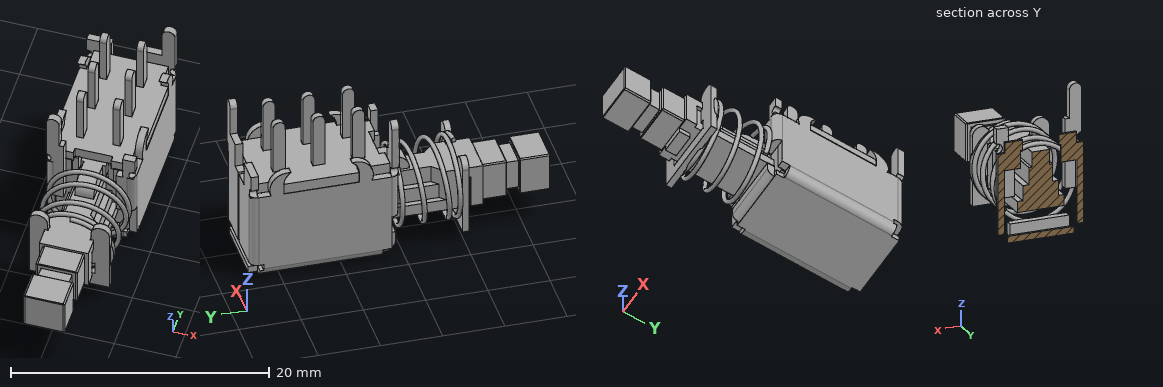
import cadquery as cq
import math


SHELL_HALF = 7.25 / 2
SHEET = 0.62
WALL_TOP = 7.53
WALL_BOTTOM = 1.13
FRONT_INNER = 11.35
FRONT = FRONT_INNER + SHEET
BEND_R = 0.65
INNER_HALF = SHELL_HALF - SHEET
FLANGE_BOTTOM = 3.75
FLANGE_INNER = 2.12
BACK_GAP = 0.25
SIDE_BACK = 1.03
BASE_T = 0.6
BASE_HALF = 2.8
BASE_BEND_R = 0.75
BASE_BEND_BACK = 0.75
BASE_BEND_FRONT = 10.63
SIDE_END_BOTTOM = 0.76
LIP_HALF = 2.5
LIP_TOP = 1.5

TAB_TOP = 12.4
STEP_TOP = 9.55
TAB_OUTER = 3.55
TAB_W = 1.05
RELIEF_R = 0.37
RELIEF_CENTRE = 3.52
BACK_STEP_LEFT = 1.6
BACK_STEP_RIGHT = 1.0
SHORT_TAB_W = 0.98

HOOK_BACK = 1.53
HOOK_BULGE_Z = 8.17
HOOK_ROOT_BACK = 1.62
HOOK_ROOT_FRONT = 2.65
HOOK_TIP = 3.22
HOOK_TIP_Z = 9.45
HOOK_MIDDLE = 5.68

CAP_HALF = 3.6
CAP_TOP = 8.41
CAP_FRONT = FRONT_INNER
CAP_NOTCH_HALF = 1.53
CAP_NOTCH_BACK = 10.87
HOUSING_FRONT = 11.02
CHEEK_HALF = 1.7
CHEEK_FRONT = 11.27
OPENING_HALF = 1.2
OPENING_BACK = 9.85

PIN_TOP = 13.0
PIN_W = 0.98
PIN_T = 0.57
PIN_X = 2.98 / 2
PIN_MIDDLE = 5.98
PIN_PITCH = 3.2

PLUNGER_HALF = 3.95 / 2
PLUNGER_BOTTOM = 2.4
PLUNGER_TOP = 6.05
LOWER_LEDGE_Z = 3.37
UPPER_LEDGE_Z = 4.62
MIDDLE_HALF = 1.53
UPPER_HALF = 1.0
TAPER_END = 16.14
COLLAR_FRONT = 19.11
AXIS_Z = 4.23
CAM_HALF = 0.76
CAM_R = 1.25
CAM_CENTRE = 12.28
KEY_HALF = 1.0
KEY_BACK = 18.13
KEY_BOTTOM = 1.87
GROOVE_HALF = 1.7
CLEARANCE_TOP = 5.15

BUTTON_HALF_X = 3.37 / 2
BUTTON_HALF_Z = 1.62
BUTTON_SIDE_BEVEL = 0.15
BUTTON_BEVEL = 0.062
NECK_HALF = 1.25
NECK_BACK = 21.1
HEAD_BACK = 22.15
BUTTON_FRONT = 24.6

PLATE_BACK = 17.1
PLATE_T = 0.55
PLATE_FRONT = PLATE_BACK + PLATE_T
PLATE_HALF = 3.25
ARM_INNER = 1.77
PLATE_BOTTOM = 0.98
PLATE_TOP = 7.53
WINDOW_HALF = 2.07
WINDOW_BOTTOM = 2.26

COIL_R = 3.25
WIRE_D = 0.4
SPRING_BACK = 12.25
BACK_PITCH = 0.2
OPEN_PITCH = 2.0
FRONT_PITCH = 0.47
OPEN_FROM = 0.4
OPEN_TO = 2.55
FIRST_TURN = -0.35
LAST_TURN = 4.0
POINTS_PER_TURN = 16


def block(x0, x1, depth0, depth1, z0, z1):
    size = (x1 - x0, depth1 - depth0, z1 - z0)
    return cq.Workplane("XY").box(*size, centered=False).translate((x0, -depth1, z0))


def centred_block(half, depth0, depth1, z0, z1):
    return block(-half, half, depth0, depth1, z0, z1)


def mirrored(solid):
    return solid.union(solid.mirror("YZ"))


def shell_walls():
    ring = centred_block(SHELL_HALF, 0, FRONT, WALL_BOTTOM, WALL_TOP).edges("|Z").fillet(BEND_R)
    ring = ring.cut(centred_block(INNER_HALF, SHEET, FRONT_INNER, WALL_BOTTOM, WALL_TOP))
    ring = ring.cut(centred_block(FLANGE_INNER, FRONT_INNER, FRONT, WALL_BOTTOM, WALL_TOP))
    ring = ring.cut(centred_block(SHELL_HALF, FRONT_INNER, FRONT, WALL_BOTTOM, FLANGE_BOTTOM))
    ring = ring.cut(centred_block(BACK_GAP / 2, 0, SHEET, WALL_BOTTOM, WALL_TOP))
    return ring


def shell_base():
    trough = centred_block(SHELL_HALF, BASE_BEND_BACK, BASE_BEND_FRONT, 0, WALL_BOTTOM)
    trough = trough.edges("|Y and <Z").fillet(BASE_BEND_R)
    above_bend = centred_block(SHELL_HALF, BASE_BEND_BACK, SIDE_BACK, BASE_T, WALL_BOTTOM)
    trough = trough.cut(above_bend)
    side_end = block(INNER_HALF, SHELL_HALF, BASE_BEND_FRONT, FRONT_INNER, SIDE_END_BOTTOM, WALL_BOTTOM)
    base = centred_block(BASE_HALF, 0, FRONT_INNER, 0, BASE_T)
    lip = centred_block(LIP_HALF, HOUSING_FRONT, FRONT, 0, LIP_TOP)
    lip = lip.edges("|X and <Y and <Z").fillet(BEND_R)
    lip = lip.cut(centred_block(LIP_HALF, HOUSING_FRONT, FRONT_INNER, BASE_T, LIP_TOP))
    return trough.union(mirrored(side_end)).union(base).union(lip)


def rounded_strip(width, top, bottom, thickness):
    """Upright strip centred on X = 0 with a half-round top, extruded towards -Y."""
    radius = width / 2
    return (
        cq.Workplane("XZ")
        .moveTo(-radius, bottom)
        .lineTo(-radius, top - radius)
        .threePointArc((0, top), (radius, top - radius))
        .lineTo(radius, bottom)
        .close()
        .extrude(thickness)
    )


def tall_tab(depth):
    tab = rounded_strip(TAB_W, TAB_TOP, WALL_TOP, SHEET)
    return tab.translate((-TAB_OUTER + TAB_W / 2, -depth, 0))


def shell_tabs():
    front_step = block(-TAB_OUTER, -FLANGE_INNER, FRONT_INNER, FRONT, WALL_TOP, STEP_TOP)
    front_short = block(SHELL_HALF - SHORT_TAB_W, SHELL_HALF, FRONT_INNER, FRONT, WALL_TOP, STEP_TOP)
    back_left = block(-SHELL_HALF, -BACK_STEP_LEFT, 0, SHEET, WALL_TOP, STEP_TOP)
    back_right = block(BACK_STEP_RIGHT, TAB_OUTER, 0, SHEET, WALL_TOP, STEP_TOP)
    tabs = tall_tab(FRONT_INNER).union(front_step).union(front_short)
    tabs = tabs.union(tall_tab(0).mirror("YZ")).union(back_left).union(back_right)
    relief = (
        cq.Workplane("XZ")
        .center(RELIEF_CENTRE, WALL_TOP + RELIEF_R)
        .circle(RELIEF_R)
        .extrude(FRONT)
    )
    relief = relief.union(
        block(RELIEF_CENTRE, SHELL_HALF, 0, FRONT, WALL_TOP, WALL_TOP + 2 * RELIEF_R)
    )
    return tabs.cut(mirrored(relief))


def hook():
    """Back hook of the left wall, curling towards the front."""
    rise = HOOK_TIP_Z - CAP_TOP
    reach = HOOK_TIP - HOOK_ROOT_FRONT
    inner_r = (reach ** 2 + rise ** 2) / (2 * reach)
    outline = (
        cq.Workplane("YZ")
        .moveTo(-HOOK_ROOT_BACK, WALL_TOP)
        .threePointArc((-HOOK_BACK, HOOK_BULGE_Z), (-HOOK_TIP, HOOK_TIP_Z))
        .radiusArc((-HOOK_ROOT_FRONT, CAP_TOP), inner_r)
        .lineTo(-HOOK_ROOT_FRONT, WALL_TOP)
        .close()
    )
    return outline.extrude(SHEET).translate((-SHELL_HALF, 0, 0))


def hooks():
    back = hook()
    front = back.mirror("XZ", (0, -HOOK_MIDDLE, 0))
    return mirrored(back.union(front))


def housing():
    body = centred_block(INNER_HALF, SIDE_BACK, HOUSING_FRONT, BASE_T, WALL_TOP)
    body = body.cut(centred_block(OPENING_HALF, OPENING_BACK, HOUSING_FRONT, PLUNGER_TOP, WALL_TOP))
    cap = centred_block(INNER_HALF, SHEET, CAP_FRONT, WALL_TOP, CAP_TOP)
    cap = cap.cut(centred_block(CAP_NOTCH_HALF, CAP_NOTCH_BACK, CAP_FRONT, WALL_TOP, CAP_TOP))
    hooks_to_middle = HOOK_MIDDLE - HOOK_ROOT_FRONT
    between_hooks = centred_block(
        CAP_HALF, HOOK_ROOT_FRONT, HOOK_MIDDLE + hooks_to_middle, WALL_TOP, CAP_TOP
    )
    cheek = block(CHEEK_HALF, INNER_HALF, HOUSING_FRONT, CHEEK_FRONT, PLUNGER_TOP, WALL_TOP)
    return body.union(cap).union(between_hooks).union(mirrored(cheek))


def terminals():
    pin = rounded_strip(PIN_W, PIN_TOP, CAP_TOP, PIN_T)
    pin = pin.translate((0, PIN_T / 2, 0)).rotate((0, 0, 0), (0, 0, 1), 90)
    pins = cq.Workplane("XY")
    for row in (-1, 0, 1):
        for x in (-PIN_X, PIN_X):
            pins = pins.union(pin.translate((x, -PIN_MIDDLE - row * PIN_PITCH, 0)))
    return pins


def plunger_layer(half, z0, z1):
    """Rear slide layer, widening at 45 degrees to the full plunger width."""
    taper_start = TAPER_END - (PLUNGER_HALF - half)
    half_outline = [
        (half, -CAP_NOTCH_BACK),
        (half, -taper_start),
        (PLUNGER_HALF, -TAPER_END),
        (PLUNGER_HALF, -COLLAR_FRONT),
    ]
    other_half = [(-x, y) for x, y in reversed(half_outline)]
    return (
        cq.Workplane("XY", origin=(0, 0, z0))
        .polyline(half_outline + other_half)
        .close()
        .extrude(z1 - z0)
    )


def plunger():
    body = centred_block(PLUNGER_HALF, CAP_NOTCH_BACK, COLLAR_FRONT, PLUNGER_BOTTOM, LOWER_LEDGE_Z)
    body = body.union(plunger_layer(MIDDLE_HALF, LOWER_LEDGE_Z, UPPER_LEDGE_Z))
    body = body.union(plunger_layer(UPPER_HALF, UPPER_LEDGE_Z, PLUNGER_TOP))
    plate_groove = block(
        GROOVE_HALF, PLUNGER_HALF, PLATE_BACK, PLATE_FRONT, PLUNGER_BOTTOM, PLUNGER_TOP
    )
    clearance = block(GROOVE_HALF, PLUNGER_HALF, PLATE_FRONT, KEY_BACK, PLUNGER_BOTTOM, CLEARANCE_TOP)
    body = body.cut(mirrored(plate_groove.union(clearance)))
    key = centred_block(KEY_HALF, KEY_BACK, COLLAR_FRONT, KEY_BOTTOM, PLUNGER_BOTTOM)
    cam = (
        cq.Workplane("YZ")
        .moveTo(-OPENING_BACK, PLUNGER_TOP)
        .lineTo(-OPENING_BACK, PLUNGER_TOP + CAM_R)
        .lineTo(-CAM_CENTRE, PLUNGER_TOP + CAM_R)
        .radiusArc((-CAM_CENTRE - CAM_R, PLUNGER_TOP), -CAM_R)
        .close()
        .extrude(CAM_HALF, both=True)
    )
    slide = centred_block(UPPER_HALF, OPENING_BACK, HOUSING_FRONT, PLUNGER_TOP, PLUNGER_TOP + CAM_R)
    return body.union(key).union(slide).union(cam)


def bevelled_prism(plane, half_width, half_height, bevel_width, bevel_height, half_length):
    """Prism about the origin whose rectangular outline has bevelled corners."""
    flat_width = half_width - bevel_width
    flat_height = half_height - bevel_height
    outline = [
        (flat_width, half_height), (half_width, flat_height),
        (half_width, -flat_height), (flat_width, -half_height),
        (-flat_width, -half_height), (-half_width, -flat_height),
        (-half_width, flat_height), (-flat_width, half_height),
    ]
    return cq.Workplane(plane).polyline(outline).close().extrude(half_length, both=True)


def button_block(depth0, depth1):
    """Block bevelled on all edges, with wider bevels on the two X sides."""
    half_y = (depth1 - depth0) / 2
    side, other = BUTTON_SIDE_BEVEL, BUTTON_BEVEL
    solid = bevelled_prism("XZ", BUTTON_HALF_X, BUTTON_HALF_Z, side, other, half_y)
    solid = solid.intersect(
        bevelled_prism("XY", BUTTON_HALF_X, half_y, side, other, BUTTON_HALF_Z)
    )
    solid = solid.intersect(
        bevelled_prism("YZ", half_y, BUTTON_HALF_Z, other, other, BUTTON_HALF_X)
    )
    return solid.translate((0, -(depth0 + depth1) / 2, AXIS_Z))


def button():
    neck = centred_block(NECK_HALF, NECK_BACK, HEAD_BACK, AXIS_Z - NECK_HALF, AXIS_Z + NECK_HALF)
    shoulder = button_block(COLLAR_FRONT - BUTTON_BEVEL, NECK_BACK)
    head = button_block(HEAD_BACK, BUTTON_FRONT)
    return shoulder.union(neck).union(head)


def spring_plate():
    arm_r = (PLATE_HALF - ARM_INNER) / 2
    plate = centred_block(PLATE_HALF, PLATE_BACK, PLATE_FRONT, PLATE_BOTTOM, PLATE_TOP - arm_r)
    plate = plate.cut(centred_block(ARM_INNER, PLATE_BACK, PLATE_FRONT, WINDOW_BOTTOM, PLATE_TOP))
    plate = plate.cut(centred_block(WINDOW_HALF, PLATE_BACK, PLATE_FRONT, WINDOW_BOTTOM, LOWER_LEDGE_Z))
    arm_tips = (
        cq.Workplane("XZ", origin=(0, -PLATE_BACK, 0))
        .pushPoints([(side * (PLATE_HALF - arm_r), PLATE_TOP - arm_r) for side in (-1, 1)])
        .circle(arm_r)
        .extrude(PLATE_T)
    )
    return plate.union(arm_tips)


def spring_depth(turn):
    """Depth of the wire: flat start, tight back coil, open coils, tight front coil."""
    back_turns = min(max(turn, 0), OPEN_FROM)
    open_turns = min(max(turn - OPEN_FROM, 0), OPEN_TO - OPEN_FROM)
    front_turns = max(turn - OPEN_TO, 0)
    advance = BACK_PITCH * back_turns + OPEN_PITCH * open_turns + FRONT_PITCH * front_turns
    return SPRING_BACK + advance


def spring():
    count = round((LAST_TURN - FIRST_TURN) * POINTS_PER_TURN)
    points = []
    for i in range(count + 1):
        turn = FIRST_TURN + (LAST_TURN - FIRST_TURN) * i / count
        angle = 2 * math.pi * turn
        x = -COIL_R * math.sin(angle)
        z = AXIS_Z + COIL_R * math.cos(angle)
        points.append(cq.Vector(x, -spring_depth(turn), z))
    centreline = cq.Edge.makeSpline(points)
    start = cq.Plane(origin=points[0], normal=centreline.tangentAt(0))
    path = cq.Workplane(obj=cq.Wire.assembleEdges([centreline]))
    return cq.Workplane(start).circle(WIRE_D / 2).sweep(path, isFrenet=True)


result = shell_walls()
for piece in (
    shell_base(), shell_tabs(), hooks(), housing(), terminals(),
    plunger(), button(), spring_plate(), spring(),
):
    result = result.union(piece)